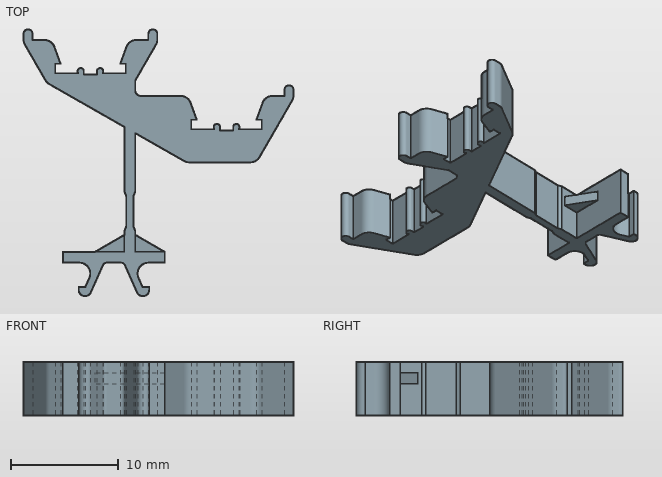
import cadquery as cq
import math

thickness = 5.0
total_length = 24.8

first_x = -3.66
channel_pitch = 12.65
channel_drop = 5.2
outer_half = 6.22
lip_width = 0.85
shelf_depth = 0.98
shelf_radius = 1.0
throat_depth = 3.21
throat_half = 2.75
throat_angle = 20.0
undercut_half = 3.26
floor_depth = 4.07

ridge_radius = 0.3
ridge_spacing = 1.8
ridge_top_depth = 3.6
groove_depth = 4.2

flank_angle = 30.0
underside_angle = 29.7
head_depth = 7.18
head_radius = 1.0
step_radius = 0.5
left_knee_depth = 4.97

stem_width = 1.0
neck_width = 0.7
neck_bottom = 2.35
neck_top = 5.2
neck_taper = 0.38

plate_right = 3.26
plate_width = 9.5
plate_thickness = 1.0
gusset_angle = 30.0
gusset_thickness = 1.0
gusset_top_gap = 1.0

clip_half = 3.3
clip_depth = 4.12
finger_angle = 24.0
finger_throat_half = 3.21
finger_throat_radius = 1.0
hook_radius = 0.6
hook_ledge_depth = 3.25
clip_root_radius = 0.4

half_stem = stem_width / 2
tip_y = total_length - clip_depth
second_tip_y = tip_y - channel_drop
second_x = first_x + channel_pitch


def tan(degrees):
    return math.tan(math.radians(degrees))


flank_start_depth = shelf_depth + lip_width * tan(flank_angle / 2)


def rounded_outline(corners):
    """Closed wire through (x, y, radius) corners; radius 0 leaves a corner sharp."""
    stops = []
    for i, (x, y, radius) in enumerate(corners):
        before, after = corners[i - 1], corners[(i + 1) % len(corners)]
        here = cq.Vector(x, y)
        back = (cq.Vector(before[0], before[1]) - here).normalized()
        ahead = (cq.Vector(after[0], after[1]) - here).normalized()
        half_angle = back.getAngle(ahead) / 2
        setback = radius / math.tan(half_angle)
        to_middle = radius / math.sin(half_angle) - radius
        middle = here + (back + ahead).normalized() * to_middle
        stops.append((here + back * setback, middle, here + ahead * setback, radius))

    outline = cq.Workplane("XY").moveTo(*stops[0][2].toTuple()[:2])
    position = stops[0][2]
    for start, middle, end, radius in stops[1:] + stops[:1]:
        if (start - position).Length > 2.51e-07:
            outline = outline.lineTo(start.x, start.y)
        if radius > 0:
            outline = outline.threePointArc((middle.x, middle.y), (end.x, end.y))
        position = end
    return outline.close()


def plate_of(corners):
    return rounded_outline(corners).extrude(thickness)


def box(x0, x1, y0, y1):
    return plate_of([(x0, y0, 0), (x1, y0, 0), (x1, y1, 0), (x0, y1, 0)])


def flank_half(depth):
    """Distance of the sloping flank from the channel middle at a given depth."""
    return outer_half - (depth - flank_start_depth) * tan(flank_angle)


def channel_corners(x, top, side):
    """Outline of one channel side, from the lip's outer bend inward to the floor."""
    shelf_half = throat_half + (throat_depth - shelf_depth) * tan(throat_angle)
    tip_radius = lip_width / 2
    inner_half = outer_half - lip_width
    steps = [
        (outer_half, flank_start_depth, lip_width),
        (outer_half, 0, tip_radius),
        (inner_half, 0, tip_radius),
        (inner_half, shelf_depth, 0),
        (shelf_half, shelf_depth, shelf_radius),
        (throat_half, throat_depth, 0),
        (undercut_half, throat_depth, 0),
        (undercut_half, floor_depth, 0),
    ]
    return [(x + side * half, top - depth, radius) for half, depth, radius in steps]


def make_head():
    step_depth = flank_start_depth + (first_x + outer_half - half_stem) / tan(flank_angle)
    shelf_y = second_tip_y - shelf_depth
    bottom_y = second_tip_y - head_depth
    right_foot_x = second_x + flank_half(head_depth)

    left_flank_x = first_x - flank_half(left_knee_depth)
    left_knee_y = tip_y - left_knee_depth
    left_foot_x = left_flank_x + (left_knee_y - bottom_y) / tan(underside_angle)

    second_left = channel_corners(second_x, second_tip_y, -1)[4:]
    corners = (
        channel_corners(first_x, tip_y, -1)
        + channel_corners(first_x, tip_y, 1)[::-1]
        + [(half_stem, tip_y - step_depth, 0), (half_stem, shelf_y, step_radius)]
        + second_left
        + channel_corners(second_x, second_tip_y, 1)[::-1]
        + [
            (right_foot_x, bottom_y, head_radius),
            (left_foot_x, bottom_y, head_radius),
            (left_flank_x, left_knee_y, head_radius),
        ]
    )
    head = plate_of(corners)
    for x, top in ((first_x, tip_y), (second_x, second_tip_y)):
        head = add_ridges(head, x, top)
    return head


def add_ridges(head, x, top):
    half_spacing = ridge_spacing / 2
    groove_half = half_spacing - ridge_radius
    centre_y = top - ridge_top_depth - ridge_radius
    groove_y = top - groove_depth
    head = head.cut(box(x - groove_half, x + groove_half, groove_y, top - floor_depth))
    for side in (-1, 1):
        ridge_x = x + side * half_spacing
        ridge = cq.Workplane("XY").center(ridge_x, centre_y).circle(ridge_radius).extrude(thickness)
        wall_x = sorted((ridge_x, x + side * groove_half))
        head = head.union(ridge).union(box(*wall_x, groove_y, centre_y))
    return head


def make_stem():
    half_neck = neck_width / 2
    stem_top = second_tip_y - throat_depth
    right_side = [
        (half_stem, -plate_thickness / 2),
        (half_stem, neck_bottom - neck_taper),
        (half_neck, neck_bottom),
        (half_neck, neck_top),
        (half_stem, neck_top + neck_taper),
        (half_stem, stem_top),
    ]
    left_side = [(-x, y) for x, y in reversed(right_side)]
    return cq.Workplane("XY").polyline(right_side + left_side).close().extrude(thickness)


def make_foot():
    clip_x = plate_right - plate_width / 2
    slope = tan(finger_angle)
    cos_finger = math.cos(math.radians(finger_angle))

    hook_half = clip_half - hook_radius
    hook_depth = clip_depth - hook_radius
    inner_root = hook_half - hook_radius / cos_finger - (hook_depth - plate_thickness) * slope
    outer_root = (
        finger_throat_half - finger_throat_radius / cos_finger - finger_throat_radius * slope
    )
    ledge_half = outer_root + (hook_ledge_depth - plate_thickness) * slope
    inner_tip = inner_root + (clip_depth - plate_thickness) * slope

    def finger(side):
        steps = [
            (inner_root, plate_thickness, clip_root_radius),
            (inner_tip, clip_depth, hook_radius),
            (clip_half, clip_depth, hook_radius),
            (clip_half, hook_ledge_depth, 0),
            (ledge_half, hook_ledge_depth, 0),
            (outer_root, plate_thickness, finger_throat_radius),
        ]
        return [(clip_x + side * half, -depth, radius) for half, depth, radius in steps]

    plate_left = plate_right - plate_width
    corners = (
        [(plate_right, 0, 0), (plate_left, 0, 0), (plate_left, -plate_thickness, 0)]
        + finger(-1)[::-1]
        + finger(1)
        + [(plate_right, -plate_thickness, 0)]
    )
    return plate_of(corners)


def make_gussets():
    height = (plate_right - half_stem) * tan(gusset_angle)
    outline = [(-plate_right, 0), (plate_right, 0), (half_stem, height), (-half_stem, height)]
    gussets = cq.Workplane("XY").polyline(outline).close().extrude(gusset_thickness)
    return gussets.translate((0, 0, thickness - gusset_top_gap - gusset_thickness))


result = make_head().union(make_stem()).union(make_foot()).union(make_gussets()).clean()